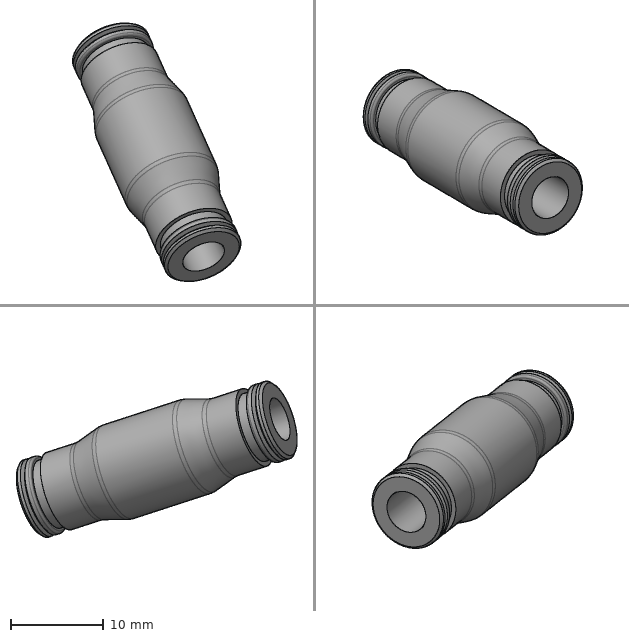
import cadquery as cq
import math

length = 29.97
half_length = length / 2
barrel_radius = 5.33
neck_radius = 4.4

taper_start = 6.92
taper_end = 10.07
blend_reach = 0.25

collar_chamfer = 0.3
v_groove_start = 0.65
v_groove_width = 0.55
v_groove_depth = 0.45
collar_length = 1.92
collar_back_fillet = 0.27
gap_end = 3.1
gap_radius = 3.87

socket_radius = 2.4
passage_radius = 1.9
socket_depth = taper_end


def taper_blend_radius():
    """Radius tangent to a cylinder and the taper, reaching blend_reach from their corner."""
    taper_angle = math.atan2(barrel_radius - neck_radius, taper_end - taper_start)
    return blend_reach / math.tan(taper_angle / 2)


def make_body():
    """One half of the solid outside, from the end face to the middle plane."""
    core = (
        cq.Workplane("XY")
        .moveTo(gap_end, 0)
        .lineTo(gap_end, neck_radius)
        .lineTo(taper_start, neck_radius)
        .lineTo(taper_end, barrel_radius)
        .lineTo(half_length, barrel_radius)
        .lineTo(half_length, 0)
        .close()
        .revolve(360, (0, 0, 0), (1, 0, 0))
    )
    taper_corners = cq.selectors.BoxSelector(
        (taper_start - blend_reach, -barrel_radius, -barrel_radius),
        (taper_end + blend_reach, barrel_radius, barrel_radius),
    )
    return core.edges("%CIRCLE").edges(taper_corners).fillet(taper_blend_radius())


def make_collar():
    """Release collar and the narrower sleeve joining it to the body."""
    fillet_middle_offset = collar_back_fillet * (1 - math.sqrt(0.5))
    return (
        cq.Workplane("XY")
        .lineTo(0, neck_radius - collar_chamfer)
        .lineTo(collar_chamfer, neck_radius)
        .lineTo(v_groove_start, neck_radius)
        .lineTo(v_groove_start + v_groove_width / 2, neck_radius - v_groove_depth)
        .lineTo(v_groove_start + v_groove_width, neck_radius)
        .lineTo(collar_length - collar_back_fillet, neck_radius)
        .threePointArc(
            (collar_length - fillet_middle_offset, neck_radius - fillet_middle_offset),
            (collar_length, neck_radius - collar_back_fillet),
        )
        .lineTo(collar_length, gap_radius)
        .lineTo(gap_end, gap_radius)
        .lineTo(gap_end, 0)
        .close()
        .revolve(360, (0, 0, 0), (1, 0, 0))
    )


def make_bore():
    """Tube socket and the narrower passage, up to the middle plane."""
    socket = cq.Workplane("YZ").circle(socket_radius).extrude(socket_depth)
    passage = cq.Workplane("YZ").circle(passage_radius).extrude(half_length)
    return socket.union(passage)


half = make_body().union(make_collar()).cut(make_bore())
half = half.translate((-half_length, 0, 0))
result = half.union(half.mirror("YZ"))